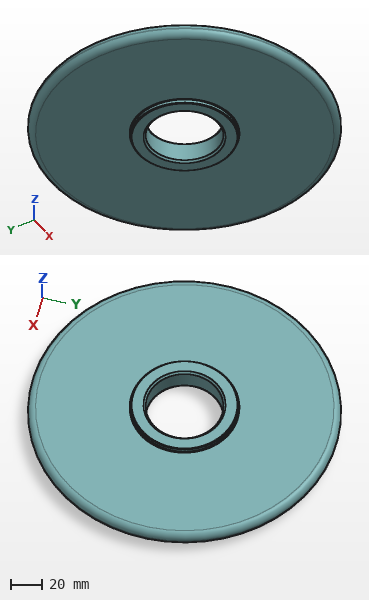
import cadquery as cq

disc_diameter = 202.0
disc_thickness = 10.0
rim_band_height = 0.5
rim_radius = (disc_thickness - rim_band_height) / 2

hub_height = 16.0
hub_seat_diameter = 71.0
hub_collar_diameter = 69.0
hub_collar_chamfer = 0.5
bore_diameter = 50.0
bore_chamfer = 1.5


def make_disc():
    """Flat ring with both outer edges rounded, bored to fit the hub seat."""
    blank = cq.Workplane("XY").workplane(offset=-disc_thickness / 2)
    blank = blank.circle(disc_diameter / 2).extrude(disc_thickness)
    rounded = blank.edges("%CIRCLE").fillet(rim_radius)
    return rounded.faces(">Z").workplane().hole(hub_seat_diameter)


def make_hub():
    """Bushing with a wider seat at mid-height, chamfered at its collar ends and bore ends."""
    collar = cq.Workplane("XY").workplane(offset=-hub_height / 2)
    collar = collar.circle(hub_collar_diameter / 2).extrude(hub_height)
    collar = collar.edges("%CIRCLE").chamfer(hub_collar_chamfer)

    seat = cq.Workplane("XY").workplane(offset=-disc_thickness / 2)
    seat = seat.circle(hub_seat_diameter / 2).extrude(disc_thickness)

    bushing = collar.union(seat).faces(">Z").workplane().hole(bore_diameter)
    bore_edges = cq.selectors.RadiusNthSelector(0)
    return bushing.faces("<Z or >Z").edges(bore_edges).chamfer(bore_chamfer)


disc = make_disc()
hub = make_hub()

result = cq.Compound.makeCompound([*disc.solids().vals(), *hub.solids().vals()])